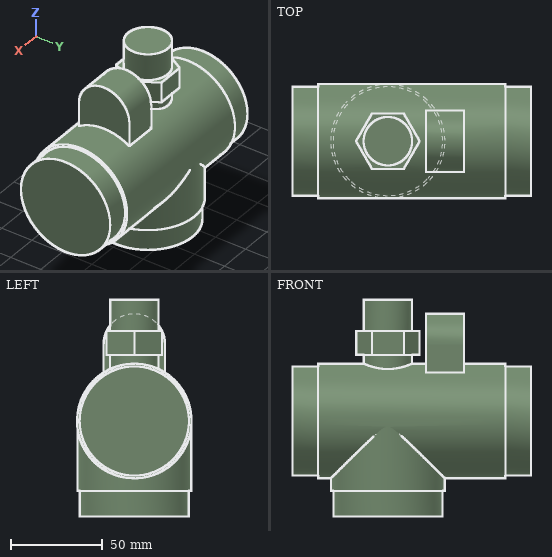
import cadquery as cq
import math

run_length = 130.0
body_diameter = 62.4

spigot_diameter = 59.5
spigot_length = 14.0

body_length = run_length - 2 * spigot_length

branch_x = -13.0
branch_diameter = 62.05
branch_reach = 52.0

fitting_diameter = 26.4
fitting_top = 66.0
hex_sides = 6
hex_across_flats = 30.0
hex_bottom = 36.0
hex_height = 13.0

lug_start_x = 7.75
lug_length = 20.75
lug_width = 33.6
lug_top = 58.4


def make_run():
    body = cq.Workplane("YZ").circle(body_diameter / 2).extrude(body_length / 2, both=True)
    spigots = cq.Workplane("YZ").circle(spigot_diameter / 2).extrude(run_length / 2, both=True)
    return body.union(spigots)


def vertical_cylinder(diameter, bottom, top):
    """Cylinder on the shared axis of the branch and the fitting."""
    base = cq.Workplane("XY", origin=(branch_x, 0, bottom))
    return base.circle(diameter / 2).extrude(top - bottom)


def make_branch():
    sleeve_bottom = spigot_length - branch_reach
    sleeve = vertical_cylinder(branch_diameter, sleeve_bottom, 0)
    spigot = vertical_cylinder(spigot_diameter, -branch_reach, 0)
    return sleeve.union(spigot)


def make_fitting():
    stem = vertical_cylinder(fitting_diameter, 0, fitting_top)
    hex_across_corners = hex_across_flats / math.cos(math.pi / hex_sides)
    hexagon = (
        cq.Workplane("XY", origin=(branch_x, 0, hex_bottom))
        .polygon(hex_sides, hex_across_corners)
        .extrude(hex_height)
    )
    return stem.union(hexagon)


def make_lug():
    half_width = lug_width / 2
    shoulder = lug_top - half_width
    return (
        cq.Workplane("YZ", origin=(lug_start_x, 0, 0))
        .moveTo(-half_width, 0)
        .lineTo(-half_width, shoulder)
        .threePointArc((0, lug_top), (half_width, shoulder))
        .lineTo(half_width, 0)
        .close()
        .extrude(lug_length)
    )


result = make_run().union(make_branch()).union(make_fitting()).union(make_lug())